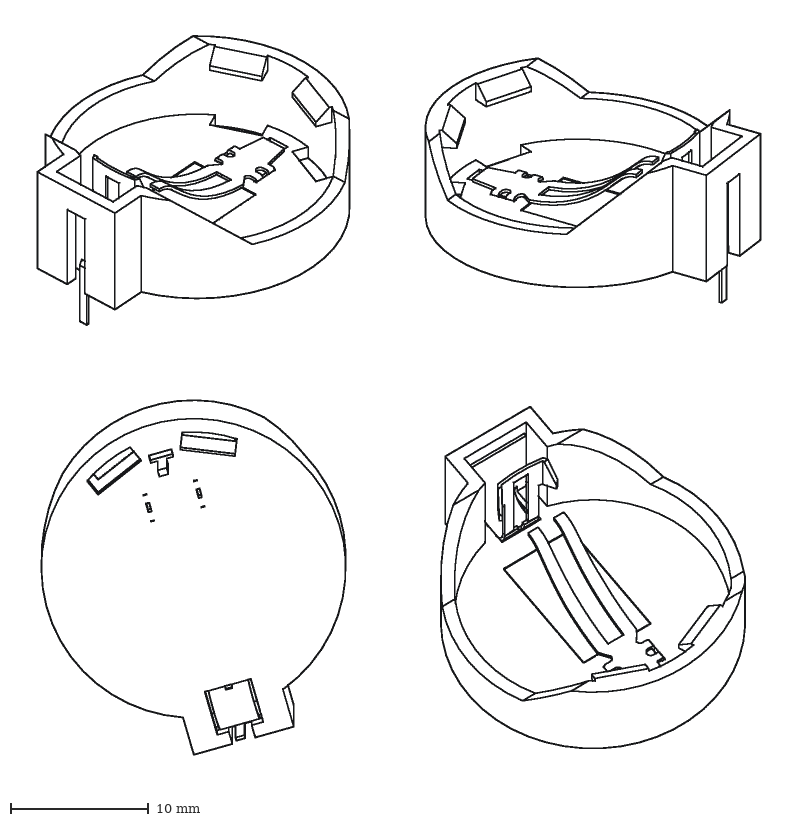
import cadquery as cq
import math


OUTER_RADIUS = 11.05
WALL = 1.0
INNER_RADIUS = OUTER_RADIUS - WALL
FLOOR = 1.0
LOW_WALL_Z = 4.35
REAR_WALL_Z = 7.33
FRONT_WALL_Z = 8.73
LOW_WALL_HALF_LENGTH = 5.05

BOX_WIDTH = 7.55
BOX_FRONT_Y = -13.25
CHANNEL_WIDTH = 5.5
CHANNEL_FRONT_Y = -12.3
PIN_WINDOW_WIDTH = 1.72
PIN_WINDOW_TOP = 6.75

TAB_ANGLE = 22.8
TAB_WIDTH = 4.0
TAB_INNER_RADIUS = 8.57
TAB_SLOPE_RADIUS = 9.64
TAB_HEIGHT = 1.4
TAB_LIP = 0.4

RECESS_WIDTH = 5.95
RECESS_REAR_Y = 3.03
RECESS_FRONT_Y = -7.02
RECESS_DEPTH = 0.1
REAR_HOLE_WIDTH = 1.7
REAR_HOLE_END_Y = 8.88
CLIP_OPENING_WIDTH = 3.46

SHEET = 0.24
PIN_WIDTH = 0.68

SPRING_REAR_Y = 8.32
SPRING_REAR_HALF = 1.02
SHOULDER_Y = 6.15
SHOULDER_HALF = 1.37
WING_FRONT_Y = 4.2
WING_HALF = 2.02
NOTCH_Y = 5.2
NOTCH_RADIUS = 0.33
NECK_HALF = 1.12
NECK_Y = WING_FRONT_Y - NOTCH_RADIUS
LEG_REAR_Y = 3.05
LEG_HALF = 1.73
LEG_TAPER_Y = -1.0
LEG_TIP_HALF = 1.58
LEG_GAP_WIDTH = 1.4
LEG_GAP_REAR_Y = 2.88
TIP_Y = -5.93
SPRING_TOP = FLOOR + SHEET
RISE_START_Y = 3.97
RISE_RADIUS = 10.8
RISE_ANGLE = 43.0
TIP_RADIUS = 2.0
WING_SLOT_WIDTH = 0.24
WING_SLOT_CLEARANCE = 0.05
REAR_PIN_THICKNESS = 2 * SHEET
REAR_PIN_BOTTOM = -3.67

CLIP_BACK_Y = -12.25
CLIP_ARM_Y = -9.0
BEND_RADIUS = (CLIP_ARM_Y - CLIP_BACK_Y) / 2
BEND_Y = (CLIP_ARM_Y + CLIP_BACK_Y) / 2
BEND_Z = 1.55
BEND_WIDTH = 3.0
BACK_PLATE_WIDTH = 5.1
BACK_PLATE_TOP = 7.5
ARM_TOP = 8.58
HEAD_BOTTOM = 5.58
HEAD_HALF = 2.02
HEAD_EDGE_Y = -8.9
HEAD_BOW = 0.17
ARM_WINDOW_WIDTH = 1.28
ARM_WINDOW_TOP = 7.7
RELIEF_WIDTH = 0.5
RELIEF_DEPTH = 0.37
EAR_TIP_X = 2.6
EAR_TIP_Y = -7.88
EAR_TIP_Z = 5.7
EAR_TOP_Y = -8.8
FRONT_PIN_BOTTOM = -3.52
FRONT_PIN_OFFSET = 0.22
FRONT_PIN_SHOULDER_Z = 1.97


def box(x0, x1, y0, y1, z0, z1):
    return cq.Workplane("XY").box(x1 - x0, y1 - y0, z1 - z0, centered=False).translate((x0, y0, z0))


def centred_box(width, y0, y1, z0, z1):
    return box(-width / 2, width / 2, y0, y1, z0, z1)


def extrude_across(profile, width):
    """Extrude a closed YZ profile symmetrically about X = 0."""
    return profile.extrude(width).translate((-width / 2, 0, 0))


def both_sides(shape):
    return shape.union(shape.mirror("YZ"))


def tray():
    """Round tray and front box with the stepped wall height."""
    plan = cq.Workplane("XY").circle(OUTER_RADIUS).extrude(FRONT_WALL_Z)
    plan = plan.union(centred_box(BOX_WIDTH, BOX_FRONT_Y, 0, 0, FRONT_WALL_Z))

    front_slope_end = -LOW_WALL_HALF_LENGTH - (FRONT_WALL_Z - LOW_WALL_Z)
    rear_slope_end = LOW_WALL_HALF_LENGTH + (REAR_WALL_Z - LOW_WALL_Z)
    side_outline = cq.Workplane("YZ").polyline([
        (BOX_FRONT_Y, 0),
        (BOX_FRONT_Y, FRONT_WALL_Z),
        (front_slope_end, FRONT_WALL_Z),
        (-LOW_WALL_HALF_LENGTH, LOW_WALL_Z),
        (LOW_WALL_HALF_LENGTH, LOW_WALL_Z),
        (rear_slope_end, REAR_WALL_Z),
        (OUTER_RADIUS, REAR_WALL_Z),
        (OUTER_RADIUS, 0),
    ]).close()
    body = plan.intersect(extrude_across(side_outline, 2 * OUTER_RADIUS))

    cavity = cq.Workplane("XY").workplane(offset=FLOOR).circle(INNER_RADIUS).extrude(FRONT_WALL_Z)
    channel = centred_box(CHANNEL_WIDTH, CHANNEL_FRONT_Y, 0, FLOOR, FRONT_WALL_Z)
    pin_window = centred_box(PIN_WINDOW_WIDTH, BOX_FRONT_Y, CHANNEL_FRONT_Y, 0, PIN_WINDOW_TOP)
    return body.cut(cavity).cut(channel).cut(pin_window)


def add_snap_tabs(body):
    """Two sloped tabs under the rear rim, each above a moulding opening in the floor."""
    bottom = REAR_WALL_Z - TAB_HEIGHT
    wall_middle = INNER_RADIUS + WALL / 2
    tab_outline = cq.Workplane("YZ").polyline([
        (wall_middle, bottom),
        (TAB_INNER_RADIUS, bottom),
        (TAB_INNER_RADIUS, bottom + TAB_LIP),
        (TAB_SLOPE_RADIUS, REAR_WALL_Z),
        (wall_middle, REAR_WALL_Z),
    ]).close()
    tab = extrude_across(tab_outline, TAB_WIDTH)
    inner_cylinder = cq.Workplane("XY").circle(INNER_RADIUS).extrude(FLOOR)
    opening = centred_box(TAB_WIDTH, TAB_INNER_RADIUS, OUTER_RADIUS, 0, FLOOR).intersect(inner_cylinder)
    for angle in (-TAB_ANGLE, TAB_ANGLE):
        body = body.union(tab.rotate((0, 0, 0), (0, 0, 1), angle))
        body = body.cut(opening.rotate((0, 0, 0), (0, 0, 1), angle))
    return body


def cut_floor_openings(body):
    recess = centred_box(RECESS_WIDTH, RECESS_FRONT_Y, RECESS_REAR_Y, FLOOR - RECESS_DEPTH, FLOOR)
    rear_hole = centred_box(REAR_HOLE_WIDTH, SPRING_REAR_Y, REAR_HOLE_END_Y, 0, FLOOR)
    clip_opening = centred_box(CLIP_OPENING_WIDTH, CHANNEL_FRONT_Y, CLIP_ARM_Y, 0, FLOOR)
    wing_slot = box(
        WING_HALF - WING_SLOT_WIDTH,
        WING_HALF,
        WING_FRONT_Y - WING_SLOT_CLEARANCE,
        SHOULDER_Y + WING_SLOT_CLEARANCE,
        0,
        FLOOR,
    )
    return body.cut(recess).cut(rear_hole).cut(clip_opening).cut(both_sides(wing_slot))


def spring_blank():
    """Flat plan shape of the spring contact, tall enough to trim the bent sheet."""
    arc_x = NECK_HALF + NOTCH_RADIUS
    arc_offset = NOTCH_RADIUS * math.sqrt(0.5)
    half = (
        cq.Workplane("XY")
        .moveTo(0, SPRING_REAR_Y)
        .lineTo(SPRING_REAR_HALF, SPRING_REAR_Y)
        .lineTo(SHOULDER_HALF, SHOULDER_Y)
        .lineTo(WING_HALF, SHOULDER_Y)
        .lineTo(WING_HALF, WING_FRONT_Y)
        .lineTo(arc_x, WING_FRONT_Y)
        .threePointArc((arc_x - arc_offset, NECK_Y + arc_offset), (NECK_HALF, NECK_Y))
        .lineTo(LEG_HALF, LEG_REAR_Y)
        .lineTo(LEG_HALF, LEG_TAPER_Y)
        .lineTo(LEG_TIP_HALF, TIP_Y)
        .lineTo(0, TIP_Y)
        .close()
        .extrude(FRONT_WALL_Z)
    )
    notch = cq.Workplane("XY").center(arc_x, NOTCH_Y).circle(NOTCH_RADIUS).extrude(FRONT_WALL_Z)
    notch = notch.union(
        box(arc_x, WING_HALF, NOTCH_Y - NOTCH_RADIUS, NOTCH_Y + NOTCH_RADIUS, 0, FRONT_WALL_Z)
    )
    leg_gap = centred_box(LEG_GAP_WIDTH, TIP_Y, LEG_GAP_REAR_Y, 0, FRONT_WALL_Z)
    return both_sides(half.cut(notch)).cut(leg_gap)


def spring_sheet():
    """Bent sheet: flat, curving up, straight rise, curving back to level at the tip."""
    angle = math.radians(RISE_ANGLE)
    sine, cosine = math.sin(angle), math.cos(angle)
    half_sine, half_cosine = math.sin(angle / 2), math.cos(angle / 2)
    tip_bend_y = TIP_Y + TIP_RADIUS * sine
    rise_end_y = RISE_START_Y - RISE_RADIUS * sine
    rise_centre_z = SPRING_TOP + RISE_RADIUS
    straight_rise = (rise_end_y - tip_bend_y) * math.tan(angle)
    tip_bend_z = rise_centre_z - RISE_RADIUS * cosine + straight_rise
    tip_centre_z = tip_bend_z - TIP_RADIUS * cosine

    def rise_point(s, c, radius):
        return (RISE_START_Y - radius * s, rise_centre_z - radius * c)

    def tip_point(s, c, radius):
        return (TIP_Y + radius * s, tip_centre_z + radius * c)

    rise_under = RISE_RADIUS + SHEET
    tip_under = TIP_RADIUS - SHEET
    outline = (
        cq.Workplane("YZ")
        .moveTo(SPRING_REAR_Y, SPRING_TOP)
        .lineTo(RISE_START_Y, SPRING_TOP)
        .threePointArc(
            rise_point(half_sine, half_cosine, RISE_RADIUS), rise_point(sine, cosine, RISE_RADIUS)
        )
        .lineTo(*tip_point(sine, cosine, TIP_RADIUS))
        .threePointArc(
            tip_point(half_sine, half_cosine, TIP_RADIUS), tip_point(0, 1, TIP_RADIUS)
        )
        .lineTo(*tip_point(0, 1, tip_under))
        .threePointArc(
            tip_point(half_sine, half_cosine, tip_under), tip_point(sine, cosine, tip_under)
        )
        .lineTo(*rise_point(sine, cosine, rise_under))
        .threePointArc(
            rise_point(half_sine, half_cosine, rise_under), rise_point(0, 1, rise_under)
        )
        .lineTo(SPRING_REAR_Y, SPRING_TOP - SHEET)
        .close()
    )
    return extrude_across(outline, 2 * WING_HALF)


def spring_prongs():
    """Wing ends folded down into the floor slots, two prongs on each side."""
    wing = box(WING_HALF - WING_SLOT_WIDTH, WING_HALF, WING_FRONT_Y, SHOULDER_Y, 0, SPRING_TOP)
    notch = box(0, WING_HALF, NOTCH_Y - NOTCH_RADIUS, NOTCH_Y + NOTCH_RADIUS, 0, SPRING_TOP)
    return both_sides(wing.cut(notch))


def round_wing_bends(spring):
    """Round the outer upper edge of each folded wing."""
    corner = box(WING_HALF - SHEET, WING_HALF, WING_FRONT_Y, SHOULDER_Y, FLOOR, SPRING_TOP)
    bend = (
        cq.Workplane("XZ", origin=(WING_HALF - SHEET, WING_FRONT_Y, FLOOR))
        .circle(SHEET)
        .extrude(WING_FRONT_Y - SHOULDER_Y)
    )
    return spring.cut(both_sides(corner.cut(bend)))


def spring_contact():
    spring = round_wing_bends(spring_sheet().intersect(spring_blank()).union(spring_prongs()))
    rear_pin = centred_box(
        PIN_WIDTH, SPRING_REAR_Y - REAR_PIN_THICKNESS, SPRING_REAR_Y, REAR_PIN_BOTTOM, SPRING_TOP
    )
    return spring.union(rear_pin)


def clip_bend():
    """Half-round bend joining the back plate to the arm."""
    ring = (
        cq.Workplane("YZ")
        .center(BEND_Y, BEND_Z)
        .circle(BEND_RADIUS)
        .circle(BEND_RADIUS - SHEET)
    )
    lower_half = centred_box(BEND_WIDTH, CLIP_BACK_Y, CLIP_ARM_Y, BEND_Z - BEND_RADIUS, BEND_Z)
    return extrude_across(ring, BEND_WIDTH).intersect(lower_half)


def clip_arm():
    """Slightly bowed upright arm with a wider head."""
    middle_y = HEAD_EDGE_Y - HEAD_BOW
    bowed = (
        cq.Workplane("XY")
        .workplane(offset=BEND_Z)
        .moveTo(-HEAD_HALF, HEAD_EDGE_Y)
        .threePointArc((0, middle_y), (HEAD_HALF, HEAD_EDGE_Y))
        .lineTo(HEAD_HALF, HEAD_EDGE_Y - SHEET)
        .threePointArc((0, middle_y - SHEET), (-HEAD_HALF, HEAD_EDGE_Y - SHEET))
        .close()
        .extrude(ARM_TOP - BEND_Z)
    )
    stem = centred_box(BEND_WIDTH, CLIP_BACK_Y, EAR_TIP_Y, BEND_Z, HEAD_BOTTOM)
    head = centred_box(2 * HEAD_HALF, CLIP_BACK_Y, EAR_TIP_Y, HEAD_BOTTOM, ARM_TOP)
    return bowed.intersect(stem.union(head))


def clip_ears():
    """Ears flared rearwards from the head, narrowing towards the top."""
    run = math.hypot(EAR_TIP_X - HEAD_HALF, EAR_TIP_Y - HEAD_EDGE_Y)
    normal_x = SHEET * (EAR_TIP_Y - HEAD_EDGE_Y) / run
    normal_y = SHEET * (EAR_TIP_X - HEAD_HALF) / run
    strip = (
        cq.Workplane("XY")
        .workplane(offset=HEAD_BOTTOM)
        .polyline([
            (HEAD_HALF, HEAD_EDGE_Y - SHEET),
            (EAR_TIP_X, EAR_TIP_Y - SHEET),
            (EAR_TIP_X - normal_x, EAR_TIP_Y - SHEET + normal_y),
            (HEAD_HALF - normal_x, HEAD_EDGE_Y),
        ])
        .close()
        .extrude(ARM_TOP - HEAD_BOTTOM)
    )
    ear_outline = cq.Workplane("YZ").polyline([
        (CLIP_BACK_Y, HEAD_BOTTOM),
        (EAR_TIP_Y, HEAD_BOTTOM),
        (EAR_TIP_Y, EAR_TIP_Z),
        (EAR_TOP_Y, ARM_TOP),
        (CLIP_BACK_Y, ARM_TOP),
    ]).close()
    return both_sides(strip.intersect(extrude_across(ear_outline, 2 * EAR_TIP_X)))


def clip_arm_window():
    """Rectangular window in the arm with a narrow relief slit running down into the bend."""
    window = centred_box(ARM_WINDOW_WIDTH, BEND_Y, EAR_TIP_Y, BEND_Z, ARM_WINDOW_TOP)
    slit = centred_box(RELIEF_WIDTH, CLIP_ARM_Y - RELIEF_DEPTH, CLIP_ARM_Y, 0, BEND_Z)
    return window.union(slit)


def clip_pin():
    """Solder pin stepped outwards from the back plate."""
    pin_outer_y = CLIP_BACK_Y - FRONT_PIN_OFFSET
    outline = cq.Workplane("YZ").polyline([
        (CLIP_BACK_Y, FRONT_PIN_SHOULDER_Z),
        (pin_outer_y, BEND_Z),
        (pin_outer_y, FRONT_PIN_BOTTOM),
        (pin_outer_y + SHEET, FRONT_PIN_BOTTOM),
        (pin_outer_y + SHEET, FRONT_PIN_SHOULDER_Z),
    ]).close()
    return extrude_across(outline, PIN_WIDTH)


def clip_contact():
    back_middle = centred_box(BEND_WIDTH, CLIP_BACK_Y, CLIP_BACK_Y + SHEET, BEND_Z, BACK_PLATE_TOP)
    back_sides = centred_box(BACK_PLATE_WIDTH, CLIP_BACK_Y, CLIP_BACK_Y + SHEET, FLOOR, BACK_PLATE_TOP)
    opening = centred_box(CLIP_OPENING_WIDTH, CLIP_BACK_Y, CLIP_ARM_Y, FLOOR, BEND_Z)
    back_plate = back_middle.union(back_sides.cut(opening))
    arm = clip_arm().union(clip_ears()).union(clip_bend()).cut(clip_arm_window())
    return arm.union(back_plate).union(clip_pin())


housing = cut_floor_openings(add_snap_tabs(tray()))
result = housing.union(spring_contact()).union(clip_contact())